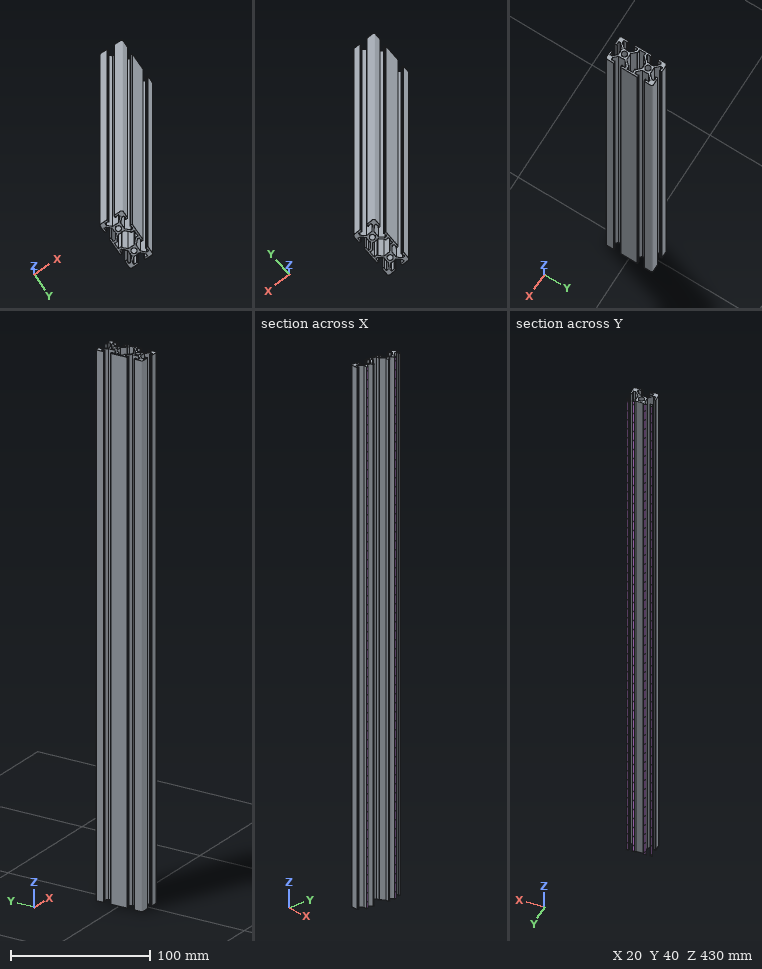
import cadquery as cq

length = 430.0
depth = 40.0
module = depth / 2
half_module = module / 2
corner_radius = 1.5

slot_width = 5.5
mouth_chamfer = 0.35
lip_thickness = 1.55
lip_hook_width = 0.5
lip_hook_height = 0.5
undercut_width = 11.5

core_width = 7.5
web_offset = 1.08
bore_diameter = 4.5

side_wall = 1.5
relief_height = 4.7

half_undercut = undercut_width / 2
floor_level = core_width / 2
half_floor = floor_level - web_offset
shoulder_level = half_undercut + web_offset

cell_centers = [(0, -half_module), (0, half_module)]


def mirrored_prism(right_side):
    """Full-length prism of an outline given by its +X half, symmetric about the Y axis."""
    left_side = [(-x, y) for x, y in reversed(right_side)]
    return cq.Workplane("XY").polyline(right_side + left_side).close().extrude(length)


def slot_cutter(center_x, center_y, angle):
    """T-slot made opening toward +Y, turned by angle and moved to a cell centre."""
    half_slot = slot_width / 2
    hook_back = half_slot + lip_hook_width
    lip_level = half_module - lip_thickness
    hook_level = lip_level - lip_hook_height
    cutter = mirrored_prism([
        (half_slot + mouth_chamfer, half_module),
        (half_slot, half_module - mouth_chamfer),
        (half_slot, hook_level),
        (hook_back, hook_level),
        (hook_back, lip_level),
        (half_undercut, lip_level),
        (half_undercut, shoulder_level),
        (half_floor, floor_level),
    ])
    return cutter.rotate((0, 0, 0), (0, 0, 1), angle).translate((center_x, center_y, 0))


def central_cavity():
    """Octagonal cavity between the two cores, with a relief in each side wall."""
    half_height = half_module - floor_level
    half_side = half_module - shoulder_level
    cavity = mirrored_prism([
        (half_floor, half_height),
        (half_undercut, half_side),
        (half_undercut, -half_side),
        (half_floor, -half_height),
    ])
    relief_width = module - 2 * side_wall
    relief = cq.Workplane("XY").rect(relief_width, relief_height).extrude(length)
    return cavity.union(relief)


profile = cq.Workplane("XY").rect(module, depth).extrude(length)
profile = profile.edges("|Z").fillet(corner_radius)

for center_x, center_y in cell_centers:
    end_angle = 0 if center_y > 0 else 180
    for angle in (90, -90, end_angle):
        profile = profile.cut(slot_cutter(center_x, center_y, angle))

profile = profile.cut(central_cavity())

bores = cq.Workplane("XY").pushPoints(cell_centers).circle(bore_diameter / 2).extrude(length)
result = profile.cut(bores)